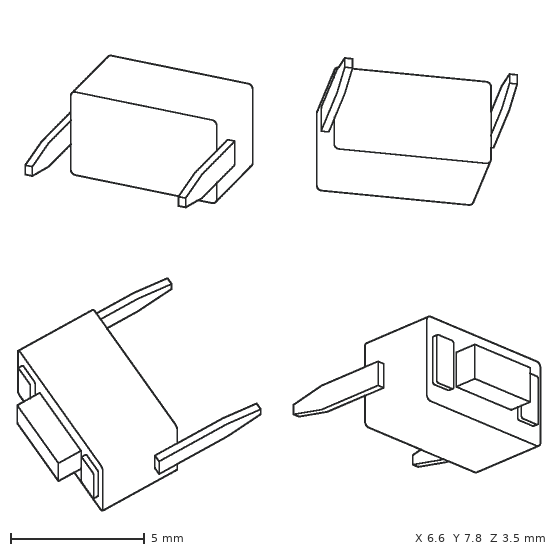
import cadquery as cq

overall_width = 6.6
overall_length = 7.8
body_height = 3.5
body_depth = 3.3
body_corner_radius = 0.2

button_width = 2.92
button_height = 1.42
button_length = 1.0

pad_width = 0.9
pad_height = 2.0
pad_thickness = 0.2
pad_corner_radius = 0.09
pad_center_x = 2.24

pin_thickness = 0.3
pin_width = 1.0
pin_tip_width = 0.4
pin_overlap = 1.0
pin_taper_length = 1.5

body_width = overall_width - 2 * pin_thickness
pin_tip_y = -(overall_length - body_depth - button_length)


def block(width, height, start_y, length, center_x=0):
    """Box centred on Z = 0 that runs from start_y towards +Y."""
    return (
        cq.Workplane("XY")
        .box(width, length, height, centered=(True, False, True))
        .translate((center_x, start_y, 0))
    )


def pin(inner_x):
    """Tapered pin that extends from inner_x towards +X."""
    taper_start_y = pin_tip_y + pin_taper_length
    return (
        cq.Workplane("YZ", origin=(inner_x, 0, 0))
        .polyline([
            (pin_overlap, -pin_width / 2),
            (pin_overlap, pin_width / 2),
            (taper_start_y, pin_width / 2),
            (pin_tip_y, pin_tip_width / 2),
            (pin_tip_y, -pin_tip_width / 2),
            (taper_start_y, -pin_width / 2),
        ])
        .close()
        .extrude(pin_thickness)
    )


body = block(body_width, body_height, 0, body_depth).edges("|Y").fillet(body_corner_radius)
button = block(button_width, button_height, body_depth, button_length)
result = body.union(button)

for side in (-1, 1):
    pad = block(pad_width, pad_height, body_depth, pad_thickness, side * pad_center_x)
    result = result.union(pad.edges("|Y").fillet(pad_corner_radius))

for inner_x in (-overall_width / 2, body_width / 2):
    result = result.union(pin(inner_x))